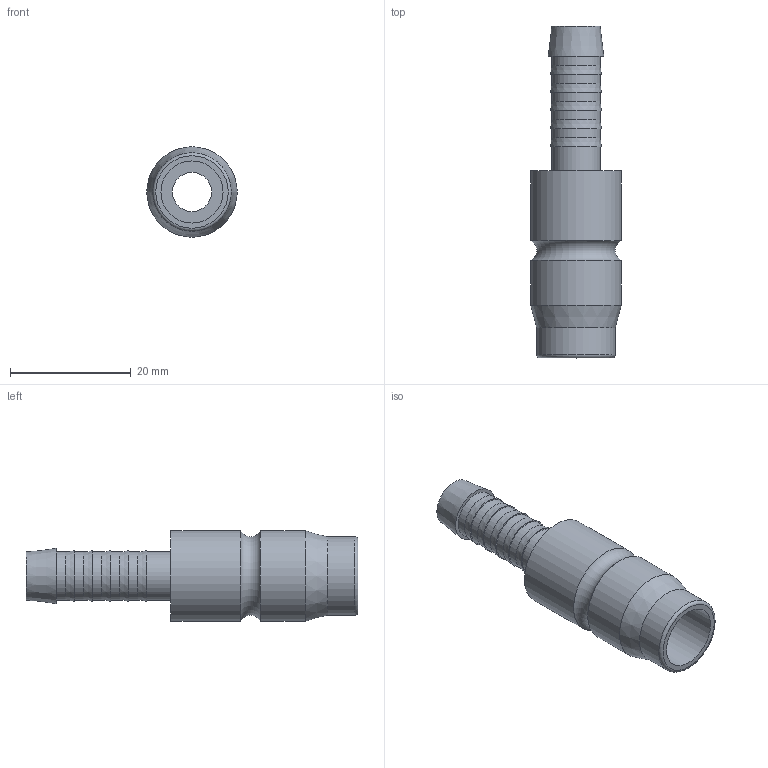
import cadquery as cq
import math

TOTAL_LENGTH = 55.0
NOSE_LENGTH = 5.0
TAPER_END = 8.7
GROOVE_CENTER = 17.8
GROOVE_WIDTH = 3.3
BODY_END = 31.0

BODY_RADIUS = 15.0 / 2
NOSE_RADIUS = 13.0 / 2
NOSE_FILLET = 0.5
GROOVE_DEPTH = 1.0

TAIL_RADIUS = 8.0 / 2
END_BARB_RADIUS = 9.2 / 2
END_BARB_LENGTH = 5.0
RIDGE_COUNT = 5
RIDGE_PITCH = 3.0
RIDGE_LENGTH = RIDGE_PITCH / 2
RIDGE_HEIGHT = 0.2

THROUGH_RADIUS = 6.5 / 2
SOCKET_RADIUS = 10.3 / 2
SOCKET_DEPTH = BODY_END - NOSE_LENGTH

BARB_BASE = TOTAL_LENGTH - END_BARB_LENGTH


def revolve_profile(profile):
    """Turn a closed (radius, Y) profile drawn in the XY plane around the Y axis."""
    return profile.close().revolve(360, (0, 0, 0), (0, 1, 0))


def make_front_body():
    """Nose with rounded rim, taper and main cylinder with its latching groove."""
    rim_center_radius = NOSE_RADIUS - NOSE_FILLET
    rim_diagonal = NOSE_FILLET * math.sqrt(0.5)
    rim_middle = (rim_center_radius + rim_diagonal, NOSE_FILLET - rim_diagonal)
    groove_start = GROOVE_CENTER - GROOVE_WIDTH / 2
    groove_end = GROOVE_CENTER + GROOVE_WIDTH / 2
    groove_bottom = (BODY_RADIUS - GROOVE_DEPTH, GROOVE_CENTER)
    profile = (
        cq.Workplane("XY")
        .moveTo(0, 0)
        .lineTo(rim_center_radius, 0)
        .threePointArc(rim_middle, (NOSE_RADIUS, NOSE_FILLET))
        .lineTo(NOSE_RADIUS, NOSE_LENGTH)
        .lineTo(BODY_RADIUS, TAPER_END)
        .lineTo(BODY_RADIUS, groove_start)
        .threePointArc(groove_bottom, (BODY_RADIUS, groove_end))
        .lineTo(BODY_RADIUS, BODY_END)
        .lineTo(0, BODY_END)
    )
    return revolve_profile(profile)


def make_hose_tail():
    """Plain tube with small saw-tooth ridges and a large tapered barb at its end."""
    profile = cq.Workplane("XY").moveTo(0, BODY_END).lineTo(TAIL_RADIUS, BODY_END)
    for index in reversed(range(RIDGE_COUNT)):
        ridge_tip = BARB_BASE - (index + 1) * RIDGE_PITCH
        profile = (
            profile.lineTo(TAIL_RADIUS, ridge_tip)
            .lineTo(TAIL_RADIUS + RIDGE_HEIGHT, ridge_tip)
            .lineTo(TAIL_RADIUS, ridge_tip + RIDGE_LENGTH)
        )
    profile = (
        profile.lineTo(TAIL_RADIUS, BARB_BASE)
        .lineTo(END_BARB_RADIUS, BARB_BASE)
        .lineTo(TAIL_RADIUS, TOTAL_LENGTH)
        .lineTo(0, TOTAL_LENGTH)
    )
    return revolve_profile(profile)


def make_bores():
    """Through bore with the wider socket that opens at the nose."""
    profile = (
        cq.Workplane("XY")
        .moveTo(0, 0)
        .lineTo(SOCKET_RADIUS, 0)
        .lineTo(SOCKET_RADIUS, SOCKET_DEPTH)
        .lineTo(THROUGH_RADIUS, SOCKET_DEPTH)
        .lineTo(THROUGH_RADIUS, TOTAL_LENGTH)
        .lineTo(0, TOTAL_LENGTH)
    )
    return revolve_profile(profile)


result = make_front_body().union(make_hose_tail()).cut(make_bores())